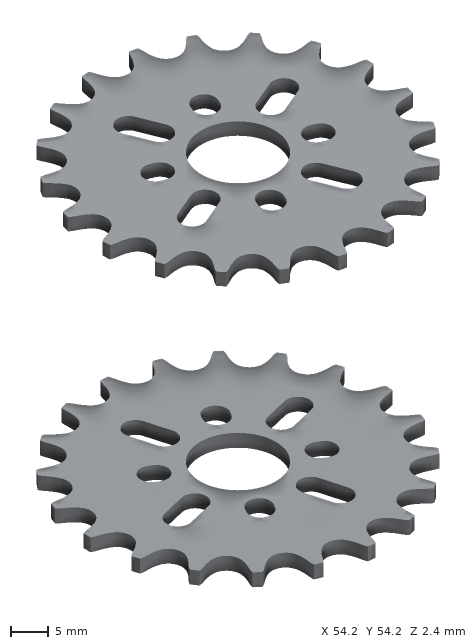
import cadquery as cq
import math

tooth_count = 20
tip_radius = 27.1
pitch_radius = 25.6
thickness = 2.4
bore_diameter = 14.0

long_slot_width = 4.1
long_slot_inner_radius = 9.3
long_slot_outer_radius = 18.0
short_slot_center_radius = 11.65
short_slot_length = 4.7
short_slot_width = 4.0

seat_radius = 2.55
working_radius = 6.55
straight_length = 0.6
topping_radius = 4.1
seat_angle = math.radians(35 + 60 / tooth_count)
working_angle = math.radians(18 - 56 / tooth_count)

tooth_angle = 2 * math.pi / tooth_count
root_radius = pitch_radius - seat_radius


def polar(radius, angle):
    return (radius * math.cos(angle), radius * math.sin(angle))


def offset(point, distance, angle):
    dx, dy = polar(distance, angle)
    return (point[0] + dx, point[1] + dy)


def rotate(point, angle):
    return polar(math.hypot(*point), math.atan2(point[1], point[0]) + angle)


def mirror(point):
    return (point[0], -point[1])


def flank_points():
    """Flank of the tooth centered on +X, on its +Y side, ordered from tip to root.

    Returns the tip corner, a point on the topping arc, the two ends of the straight,
    a point on the working arc and the end of the roller seat.
    """
    seat_slope = seat_angle - tooth_angle / 2
    straight_slope = seat_slope - working_angle
    middle_slope = (seat_slope + straight_slope) / 2

    seat_center = polar(pitch_radius, tooth_angle / 2)
    seat_end = offset(seat_center, -seat_radius, math.pi / 2 - seat_slope)
    working_center = offset(seat_end, working_radius, math.pi / 2 - seat_slope)
    working_middle = offset(working_center, -working_radius, math.pi / 2 - middle_slope)
    straight_start = offset(working_center, -working_radius, math.pi / 2 - straight_slope)
    straight_end = offset(straight_start, straight_length, -straight_slope)
    topping_center = offset(straight_end, -topping_radius, math.pi / 2 - straight_slope)

    center_distance = math.hypot(*topping_center)
    center_angle = math.atan2(topping_center[1], topping_center[0])
    corner_angle = math.acos(
        (tip_radius**2 + center_distance**2 - topping_radius**2) / (2 * tip_radius * center_distance)
    )
    tip_corner = polar(tip_radius, center_angle + corner_angle)
    corner_normal = math.atan2(tip_corner[1] - topping_center[1], tip_corner[0] - topping_center[0])
    topping_normal = (corner_normal + math.pi / 2 - straight_slope) / 2
    topping_middle = offset(topping_center, topping_radius, topping_normal)
    return tip_corner, topping_middle, straight_end, straight_start, working_middle, seat_end


def toothed_disc():
    flank = flank_points()
    opposite_flank = [mirror(point) for point in flank]
    outline = cq.Workplane("XY").moveTo(*opposite_flank[0])
    for tooth in range(tooth_count):
        center = tooth * tooth_angle
        next_center = center + tooth_angle
        falling = [rotate(point, center) for point in flank]
        rising = [rotate(point, next_center) for point in opposite_flank]
        outline = (
            outline.threePointArc(polar(tip_radius, center), falling[0])
            .threePointArc(falling[1], falling[2])
            .lineTo(*falling[3])
            .threePointArc(falling[4], falling[5])
            .threePointArc(polar(root_radius, center + tooth_angle / 2), rising[5])
            .threePointArc(rising[4], rising[3])
            .lineTo(*rising[2])
            .threePointArc(rising[1], rising[0])
        )
    return outline.close().extrude(thickness)


def radial_slots(center_radius, length, width, start_angle):
    """Four through slots, equally spaced, each pointing at the sprocket axis."""
    return (
        cq.Workplane("XY")
        .polarArray(center_radius, start_angle, 360, 4)
        .slot2D(length, width)
        .extrude(thickness)
    )


bore = cq.Workplane("XY").circle(bore_diameter / 2).extrude(thickness)
long_slots = radial_slots(
    (long_slot_inner_radius + long_slot_outer_radius) / 2,
    long_slot_outer_radius - long_slot_inner_radius,
    long_slot_width,
    0,
)
short_slots = radial_slots(short_slot_center_radius, short_slot_length, short_slot_width, 45)

result = toothed_disc().cut(bore).cut(long_slots).cut(short_slots)